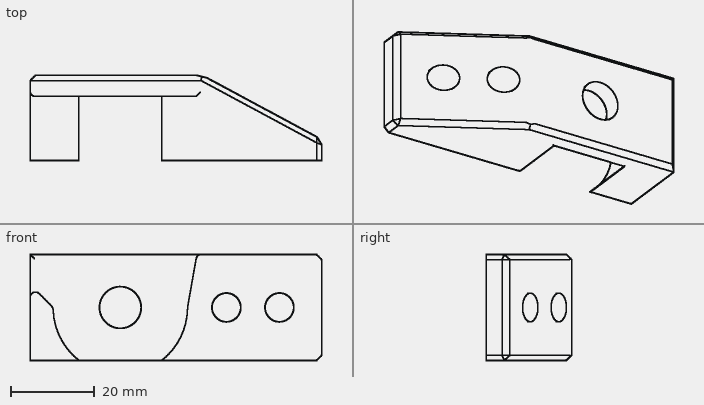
import cadquery as cq
import math

length = 69.85
depth = 20.48
height = 25.4
mid_height = height / 2
edge_break = 1.27

bend_x = 41.2
end_depth = 5.08
slope_angle = math.atan2(depth - end_depth, length - bend_x)

plate_thickness = 5.08
pocket_floor_y = depth - plate_thickness
cradle_radius = 16.1
cradle_x = 21.59
ramp_angle = 45.0
wall_lean = 10.0
ramp_blend_radius = 1.6
wall_blend_radius = 11.42 / 2

plate_hole_diameter = 9.93
mount_hole_diameter = 6.85
mount_hole_spacing = 12.7
outer_mount_hole_x = length - 10.16
mount_hole_xs = (outer_mount_hole_x - mount_hole_spacing, outer_mount_hole_x)

overshoot = 1.0


def edges_near(solid, points):
    """Collect the edge nearest to each point."""
    nearest = [solid.edges(cq.selectors.NearestToPointSelector(point)).val() for point in points]
    return solid.newObject(nearest)


def trim_beyond(solid, point, normal, along):
    """Remove everything on the normal's side of a plane through the point."""
    plane = cq.Plane(origin=point, xDir=along, normal=normal)
    return solid.cut(cq.Workplane(plane).rect(length, length).extrude(length))


def bevel_bend(body):
    """Plane off the upright edge where the back turns into the slope."""
    back_point = cq.Vector(bend_x - edge_break, depth, mid_height)
    slope_point = cq.Vector(
        bend_x + edge_break * math.cos(slope_angle),
        depth - edge_break * math.sin(slope_angle),
        mid_height,
    )
    across = slope_point - back_point
    return trim_beyond(body, back_point, cq.Vector(0, 0, 1).cross(across), across)


def bevel_end_corner(body):
    """Chamfer the upright edge between slope and end, with a triangular facet at each tip."""
    slope_point = cq.Vector(
        length - edge_break * math.cos(slope_angle),
        end_depth + edge_break * math.sin(slope_angle),
        mid_height,
    )
    end_point = cq.Vector(length, end_depth - edge_break, mid_height)
    across = end_point - slope_point
    upright_normal = cq.Vector(0, 0, 1).cross(across)
    body = trim_beyond(body, slope_point, upright_normal, across)

    tip_y = end_depth + edge_break * math.tan(slope_angle) - edge_break / math.cos(slope_angle)
    for side in (1, -1):
        tip = cq.Vector(length - edge_break, tip_y, mid_height + side * mid_height)
        facet_start = slope_point + cq.Vector(0, 0, side * (mid_height - edge_break))
        facet_normal = (tip - facet_start).cross(across) * side
        body = trim_beyond(body, tip, facet_normal, across)
    return body


def make_body():
    """Block with a sloping back, chamfered around its back, slope and right end."""
    outline = [(0, 0), (length, 0), (length, end_depth), (bend_x, depth), (0, depth)]
    body = cq.Workplane("XY").polyline(outline).close().extrude(height)
    slope_mid_x = (bend_x + length) / 2
    slope_mid_y = (depth + end_depth) / 2
    chamfered = [(0, depth, mid_height)]
    for z in (0, height):
        chamfered.append((bend_x / 2, depth, z))
        chamfered.append((slope_mid_x, slope_mid_y, z))
        chamfered.append((length, end_depth / 2, z))
    body = edges_near(body, chamfered).chamfer(edge_break)
    return bevel_end_corner(bevel_bend(body))


def make_pocket_cutter():
    """Round cradle that opens into a left ramp and a leaning right wall."""
    left_x = cradle_x - cradle_radius
    right_x = cradle_x + cradle_radius
    ramp_slope = math.tan(math.radians(ramp_angle))
    wall_slope = math.tan(math.radians(wall_lean))
    outer_x = -overshoot
    top_z = height + overshoot
    ramp_top_z = mid_height + (left_x - outer_x) / ramp_slope
    wall_top_x = right_x + (top_z - mid_height) * wall_slope
    cutter_depth = pocket_floor_y + overshoot

    cutter = (
        cq.Workplane("XZ", origin=(0, pocket_floor_y, 0))
        .moveTo(left_x, mid_height)
        .threePointArc((cradle_x, mid_height - cradle_radius), (right_x, mid_height))
        .lineTo(wall_top_x, top_z)
        .lineTo(outer_x, top_z)
        .lineTo(outer_x, ramp_top_z)
        .close()
        .extrude(cutter_depth)
    )
    cutter_mid_y = pocket_floor_y - cutter_depth / 2
    cutter = edges_near(cutter, [(left_x, cutter_mid_y, mid_height)]).fillet(ramp_blend_radius)
    return edges_near(cutter, [(right_x, cutter_mid_y, mid_height)]).fillet(wall_blend_radius)


def make_hole(x, diameter):
    """Cutter for a hole through the full depth at mid height."""
    return (
        cq.Workplane("XZ", origin=(x, -overshoot, mid_height))
        .circle(diameter / 2)
        .extrude(-(depth + 2 * overshoot))
    )


def round_rim(solid):
    """Round the pocket's edges on the top and left faces."""
    wall_rim_x = cradle_x + cradle_radius + mid_height * math.tan(math.radians(wall_lean))
    ramp_rim_z = mid_height + (cradle_x - cradle_radius) / math.tan(math.radians(ramp_angle))
    rim_points = [
        (wall_rim_x / 2, pocket_floor_y, height),
        (wall_rim_x, pocket_floor_y / 2, height),
        (0, pocket_floor_y, (ramp_rim_z + height) / 2),
        (0, pocket_floor_y / 2, ramp_rim_z),
    ]
    return edges_near(solid, rim_points).fillet(edge_break)


part = round_rim(make_body().cut(make_pocket_cutter()))
part = part.cut(make_hole(cradle_x, plate_hole_diameter))
for mount_hole_x in mount_hole_xs:
    part = part.cut(make_hole(mount_hole_x, mount_hole_diameter))
result = part